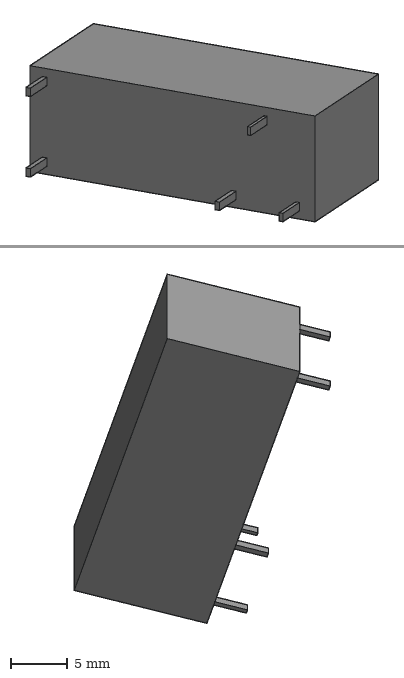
import cadquery as cq

body_length = 28.5
body_height = 10.0
overall_depth = 15.5
pin_length = 3.2
body_depth = overall_depth - pin_length

pin_height = 0.8
wide_pin = 0.45
narrow_pin = 0.3
end_pin = 0.37

row_spacing = 7.6
contact_pitch = 3.2
upper_row = 3.8
lower_row = upper_row - row_spacing
coil_x = -12.77
last_contact_x = 12.5
middle_contact_x = last_contact_x - contact_pitch
first_contact_x = middle_contact_x - contact_pitch

pins = [
    (coil_x, upper_row, wide_pin),
    (coil_x, lower_row, wide_pin),
    (first_contact_x, lower_row, wide_pin),
    (middle_contact_x, upper_row, narrow_pin),
    (last_contact_x, lower_row, end_pin),
]


def make_body():
    return cq.Workplane("XY").box(body_length, body_depth, body_height, centered=(True, False, True))


def make_pin(x, z, width):
    """Pin standing out of the body's -Y face."""
    pin = cq.Workplane("XY").box(width, pin_length, pin_height, centered=(True, False, True))
    return pin.translate((x, -pin_length, z))


result = make_body()
for x, z, width in pins:
    result = result.union(make_pin(x, z, width))